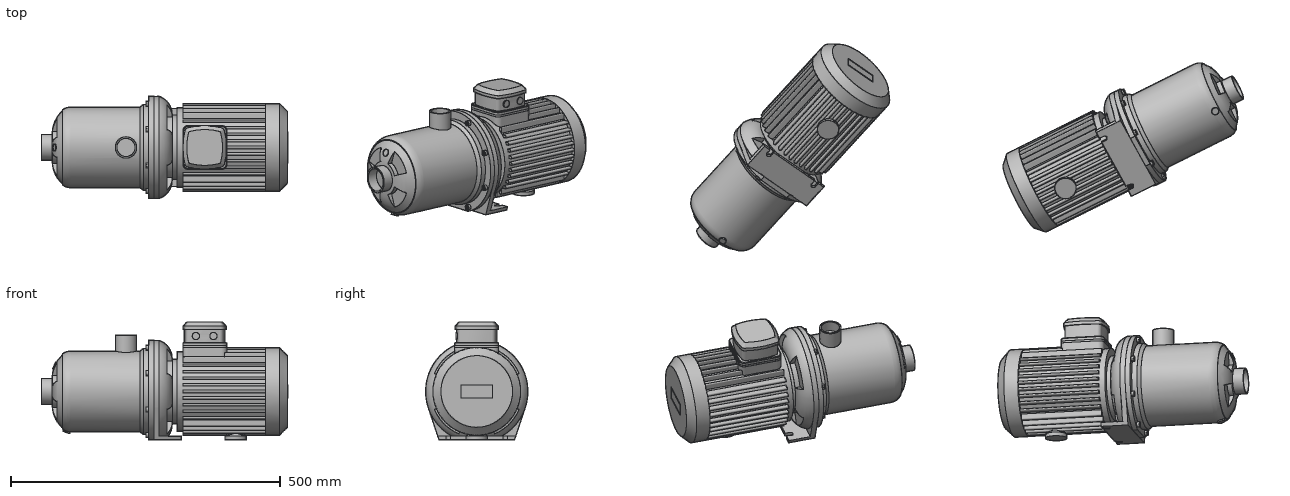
import cadquery as cq
import math


base_depth = 90.0

port_wall = 3.0
suction_bore = 42.4
suction_length = 20.0
suction_outer = suction_bore + 2 * port_wall
discharge_bore = 33.7
discharge_outer = discharge_bore + 2 * port_wall
discharge_x = 157.1
discharge_top = 104.5
discharge_floor = discharge_top - 20.0

nose_arc_radius = 60.0
nose_end_radius = 136.0 / 2
rim_start_radius = 69.5
casing_radius = 150.0 / 2
casing_start_x = 54.3
casing_end_x = 183.0
collar_radius = 160.0 / 2
collar_start_x = 189.4
flange_radius = 95.0
flange_front_x = 199.3
flange_rear_x = 208.6
nose_pocket_floor_x = 29.5
nose_hub_radius = 31.4
nose_spoke_half_angle = 20.0

screw_count = 8
screw_circle_radius = 87.4
screw_head_diameter = 10.0
screw_head_height = 5.3
screw_socket_flats = 5.0
screw_socket_depth = 2.5

plug_diameter = 13.5
plug_length = 6.0
vent_z = 48.0
plug_proud = 1.2
drain_x = 46.7
drain_z = -75.0
drain_tilt = 20.0

dome_start_x = 218.4
lantern_end_x = 243.0
lantern_pocket_floor_x = 233.4
neck_radius = 120.0 / 2
dome_end_radius = 61.0
neck_end_x = 251.8
lantern_spoke_half_angle = 23.0
foot_thickness = 7.0
foot_end_x = 259.8
foot_half_width = 70.1
foot_slot_width = 9.0
foot_slot_y = 52.8
foot_slot_depth = 13.5

motor_radius = 148.0 / 2
fin_start_x = 262.7
fin_end_x = 415.5
fin_outer_radius = 163.0 / 2
fin_pitch = 12.2
fin_thickness = 5.0
fins_each_side = 4
fin_root_overlap = 10.0
stand_x = 360.6
stand_diameter = 40.0
stand_pad_height = 7.0
stand_neck_diameter = 20.0

cover_end_x = 456.9
cover_chamfer = 15.0
plate_end_x = 458.0
plate_width = 58.0
plate_height = 23.5

base_size = 81.6
base_corner = 10.0
base_x = fin_start_x + base_size / 2
base_top = fin_outer_radius
gasket_top = 85.0
box_flange_top = 91.0
box_flange_chamfer = 1.5
box_x = 303.0
box_mid = 38.0
box_edge = 34.75
box_corner = 7.25
box_top = 115.0
lid_rim_top = 121.0
lid_top = 129.0
lid_mid = 40.5
lid_edge = 36.8
lid_corner = 7.9
crown_mid = 33.2
crown_edge = 29.8
crown_corner = 3.0
gland_spacing = 32.6
gland_z = 102.8
gland_diameter = 13.5
gland_reach = 38.8


def rod(diameter, start_x, end_x):
    """Cylinder on the pump axis."""
    return cq.Workplane("YZ", origin=(start_x, 0, 0)).circle(diameter / 2).extrude(end_x - start_x)


def revolve_about_axis(profile):
    """Turn a closed (x, radius) profile about the pump axis."""
    return profile.close().revolve(360, (0, 0, 0), (1, 0, 0))


def slab_above_base(height):
    """Wide slab that rests on the base plane, used to trim or pick out parts of a body."""
    span = 4 * plate_end_x
    slab = cq.Workplane("XY", origin=(0, 0, -base_depth)).rect(span, span)
    return slab.extrude(height)


def quadrant_pockets(inner_radius, outer_radius, spoke_half_angle, start_x, end_x):
    """Four ring sectors, one between each pair of spokes along +-Y and +-Z."""
    ring = rod(2 * outer_radius, start_x, end_x).cut(rod(2 * inner_radius, start_x, end_x))
    reach = 2 * outer_radius
    wedges = cq.Workplane("YZ", origin=(start_x, 0, 0))
    for quarter in range(4):
        first = math.radians(90 * quarter + spoke_half_angle)
        last = math.radians(90 * quarter + 90 - spoke_half_angle)
        wedges = (
            wedges.moveTo(0, 0)
            .lineTo(reach * math.cos(first), reach * math.sin(first))
            .lineTo(reach * math.cos(last), reach * math.sin(last))
            .close()
        )
    return ring.intersect(wedges.extrude(end_x - start_x))


nose_center_x = suction_length + nose_arc_radius
nose_center_radius = suction_outer / 2


def nose_point(radius):
    """Point of the domed nose profile at a given radius."""
    run = math.sqrt(nose_arc_radius**2 - (radius - nose_center_radius) ** 2)
    return (nose_center_x - run, radius)


def make_plug(x, z, normal):
    """Round plug set into the casing surface at (x, 0, z), standing slightly proud."""
    plane = cq.Plane(origin=(x, 0, z), xDir=(0, 1, 0), normal=normal)
    seat = cq.Workplane(plane).workplane(offset=-plug_length)
    return seat.circle(plug_diameter / 2).extrude(plug_length + plug_proud)


def make_vent_plug():
    x, z = nose_point(vent_z)
    return make_plug(x, z, (x - nose_center_x, 0, z - nose_center_radius))


def make_drain_plug():
    tilt = math.radians(drain_tilt)
    return make_plug(drain_x, drain_z, (-math.sin(tilt), 0, -math.cos(tilt)))


def make_casing_shell():
    nose_end = nose_point(nose_end_radius)
    nose_mid = nose_point((nose_center_radius + nose_end_radius) / 2)
    rim_run = casing_start_x - nose_end[0]
    rim_rise = casing_radius - rim_start_radius
    rim_arc_radius = (rim_run**2 + rim_rise**2) / (2 * rim_rise)
    half_sweep = math.asin(rim_run / rim_arc_radius) / 2
    rim_mid = (
        casing_start_x - rim_arc_radius * math.sin(half_sweep),
        casing_radius - rim_arc_radius * (1 - math.cos(half_sweep)),
    )
    profile = (
        cq.Workplane("XY")
        .moveTo(suction_length, 0)
        .lineTo(suction_length, nose_center_radius)
        .threePointArc(nose_mid, nose_end)
        .lineTo(nose_end[0], rim_start_radius)
        .threePointArc(rim_mid, (casing_start_x, casing_radius))
        .lineTo(casing_end_x, casing_radius)
        .lineTo(collar_start_x, collar_radius)
        .lineTo(flange_front_x, collar_radius)
        .lineTo(flange_front_x, flange_radius)
        .lineTo(flange_rear_x, flange_radius)
        .lineTo(flange_rear_x, 0)
    )
    shell = revolve_about_axis(profile).intersect(slab_above_base(base_depth + flange_radius))
    return shell.cut(
        quadrant_pockets(nose_hub_radius, flange_radius, nose_spoke_half_angle, 0, nose_pocket_floor_x)
    )


def add_ports(body):
    body = body.union(rod(suction_outer, 0, nose_pocket_floor_x))
    body = body.cut(rod(suction_bore, 0, suction_length))
    riser = cq.Workplane("XY", origin=(discharge_x, 0, 0)).circle(discharge_outer / 2).extrude(discharge_top)
    bore = cq.Workplane("XY", origin=(discharge_x, 0, discharge_floor)).circle(discharge_bore / 2)
    return body.union(riser).cut(bore.extrude(discharge_top - discharge_floor))


def make_screw_head(angle):
    center = (flange_front_x, screw_circle_radius * math.cos(angle), screw_circle_radius * math.sin(angle))
    head = cq.Workplane("YZ", origin=center).circle(screw_head_diameter / 2).extrude(-screw_head_height)
    socket_corners = screw_socket_flats / math.cos(math.pi / 6)
    return head.faces("<X").workplane().polygon(6, socket_corners).cutBlind(-screw_socket_depth)


def make_casing():
    body = add_ports(make_casing_shell())
    for i in range(screw_count):
        body = body.union(make_screw_head((i + 0.5) * 2 * math.pi / screw_count))
    return body.cut(make_vent_plug()).cut(make_drain_plug())


def make_lantern_dome():
    run = lantern_end_x - dome_start_x
    rise = flange_radius - dome_end_radius
    dome_arc_radius = (run**2 + rise**2) / (2 * run)
    dome_center_x = lantern_end_x - dome_arc_radius
    half_sweep = math.asin(rise / dome_arc_radius) / 2
    dome_mid = (
        dome_center_x + dome_arc_radius * math.cos(half_sweep),
        dome_end_radius + dome_arc_radius * math.sin(half_sweep),
    )
    profile = (
        cq.Workplane("XY")
        .moveTo(flange_rear_x, 0)
        .lineTo(flange_rear_x, flange_radius)
        .lineTo(dome_start_x, flange_radius)
        .threePointArc(dome_mid, (lantern_end_x, dome_end_radius))
        .lineTo(lantern_end_x, neck_radius)
        .lineTo(neck_end_x, neck_radius)
        .lineTo(neck_end_x, 0)
    )
    dome = revolve_about_axis(profile).intersect(slab_above_base(base_depth + flange_radius))
    return dome.cut(
        quadrant_pockets(
            dome_end_radius, flange_radius, lantern_spoke_half_angle, lantern_pocket_floor_x, lantern_end_x
        )
    )


def make_foot():
    corner_distance = math.hypot(foot_half_width, base_depth)
    tangent_angle = math.acos(flange_radius / corner_distance) - math.atan2(base_depth, foot_half_width)
    tangent_y = flange_radius * math.cos(tangent_angle)
    tangent_z = flange_radius * math.sin(tangent_angle)
    outline = [
        (tangent_y, tangent_z),
        (foot_half_width, -base_depth),
        (-foot_half_width, -base_depth),
        (-tangent_y, tangent_z),
    ]
    start = cq.Workplane("YZ", origin=(flange_rear_x, 0, 0))
    upright = start.polyline(outline).close().extrude(dome_start_x - flange_rear_x)
    sole = start.polyline(outline).close().extrude(foot_end_x - flange_rear_x)
    sole = sole.intersect(slab_above_base(foot_thickness))
    slots = (
        cq.Workplane("XY", origin=(foot_end_x, 0, -base_depth))
        .pushPoints([(0, -foot_slot_y), (0, foot_slot_y)])
        .slot2D(2 * foot_slot_depth, foot_slot_width)
        .extrude(foot_thickness)
    )
    return upright.union(sole.cut(slots))


def make_lantern():
    return make_lantern_dome().union(make_foot())


def terminal_block(bottom_z, top_z):
    """Square block with rounded corners, the footprint of the terminal box base."""
    block = cq.Workplane("XY", origin=(base_x, 0, bottom_z)).rect(base_size, base_size)
    return block.extrude(top_z - bottom_z).edges("|Z").fillet(base_corner)


def make_fin(offset, start_x):
    """Fin on the +Y side, at height offset, with a rounded tip."""
    half = fin_thickness / 2
    tip = math.sqrt((fin_outer_radius - half) ** 2 - offset**2)
    root = math.sqrt(motor_radius**2 - offset**2) - fin_root_overlap
    return (
        cq.Workplane("YZ", origin=(start_x, 0, 0))
        .moveTo(root, offset - half)
        .lineTo(tip, offset - half)
        .threePointArc((tip + half, offset), (tip, offset + half))
        .lineTo(root, offset + half)
        .close()
        .extrude(fin_end_x - start_x)
    )


def make_stand():
    taper = (stand_diameter - stand_neck_diameter) / 2
    return (
        cq.Workplane("XZ", origin=(stand_x, 0, -base_depth))
        .lineTo(stand_diameter / 2, 0)
        .lineTo(stand_diameter / 2, stand_pad_height)
        .lineTo(stand_neck_diameter / 2, stand_pad_height + taper)
        .lineTo(stand_neck_diameter / 2, base_depth)
        .lineTo(0, base_depth)
        .close()
        .revolve(360, (0, 0, 0), (0, 1, 0))
    )


def make_motor():
    body = rod(2 * motor_radius, neck_end_x, fin_end_x)
    for side_angle in (0, 90, 180, 270):
        for i in range(-fins_each_side, fins_each_side + 1):
            offset = i * fin_pitch
            behind_block = side_angle == 90 and abs(offset) < base_size / 2
            start_x = base_x if behind_block else fin_start_x
            body = body.union(make_fin(offset, start_x).rotate((0, 0, 0), (1, 0, 0), side_angle))
    return body.union(terminal_block(0, base_top)).union(make_stand())


def make_fan_cover():
    cover = rod(2 * fin_outer_radius, fin_end_x, cover_end_x).faces(">X").chamfer(cover_chamfer)
    plate = cq.Workplane("YZ", origin=(cover_end_x, 0, 0)).rect(plate_width, plate_height)
    return cover.union(plate.extrude(plate_end_x - cover_end_x))


def bulged_square(work, mid, edge, corner):
    """Square outline with outward-bowed sides and round corners."""
    straight = edge - corner
    diagonal = straight + corner * math.sqrt(0.5)
    return (
        work.moveTo(-straight, -edge)
        .threePointArc((0, -mid), (straight, -edge))
        .threePointArc((diagonal, -diagonal), (edge, -straight))
        .threePointArc((mid, 0), (edge, straight))
        .threePointArc((diagonal, diagonal), (straight, edge))
        .threePointArc((0, mid), (-straight, edge))
        .threePointArc((-diagonal, diagonal), (-edge, straight))
        .threePointArc((-mid, 0), (-edge, -straight))
        .threePointArc((-diagonal, -diagonal), (-straight, -edge))
        .close()
    )


def make_gasket():
    return terminal_block(base_top, gasket_top)


def make_terminal_box():
    flange = terminal_block(gasket_top, box_flange_top).faces(">Z").chamfer(box_flange_chamfer)
    wall = bulged_square(cq.Workplane("XY", origin=(box_x, 0, gasket_top)), box_mid, box_edge, box_corner)
    glands = (
        cq.Workplane("XZ", origin=(box_x, 0, gland_z))
        .pushPoints([(-gland_spacing / 2, 0), (gland_spacing / 2, 0)])
        .circle(gland_diameter / 2)
        .extrude(gland_reach)
    )
    return flange.union(wall.extrude(box_top - gasket_top)).union(glands)


def make_lid():
    rim = bulged_square(cq.Workplane("XY", origin=(box_x, 0, box_top)), lid_mid, lid_edge, lid_corner)
    crown = bulged_square(cq.Workplane("XY", origin=(box_x, 0, lid_rim_top)), lid_mid, lid_edge, lid_corner)
    crown = crown.workplane(offset=lid_top - lid_rim_top)
    crown = bulged_square(crown, crown_mid, crown_edge, crown_corner)
    return rim.extrude(lid_rim_top - box_top).union(crown.loft(ruled=True))


casing = make_casing()
vent_plug = make_vent_plug()
drain_plug = make_drain_plug()
lantern = make_lantern()
motor = make_motor()
fan_cover = make_fan_cover()
gasket = make_gasket()
terminal_box = make_terminal_box()
lid = make_lid()

result = cq.Compound.makeCompound([
    *casing.solids().vals(),
    *vent_plug.solids().vals(),
    *drain_plug.solids().vals(),
    *lantern.solids().vals(),
    *motor.solids().vals(),
    *fan_cover.solids().vals(),
    *gasket.solids().vals(),
    *terminal_box.solids().vals(),
    *lid.solids().vals(),
])